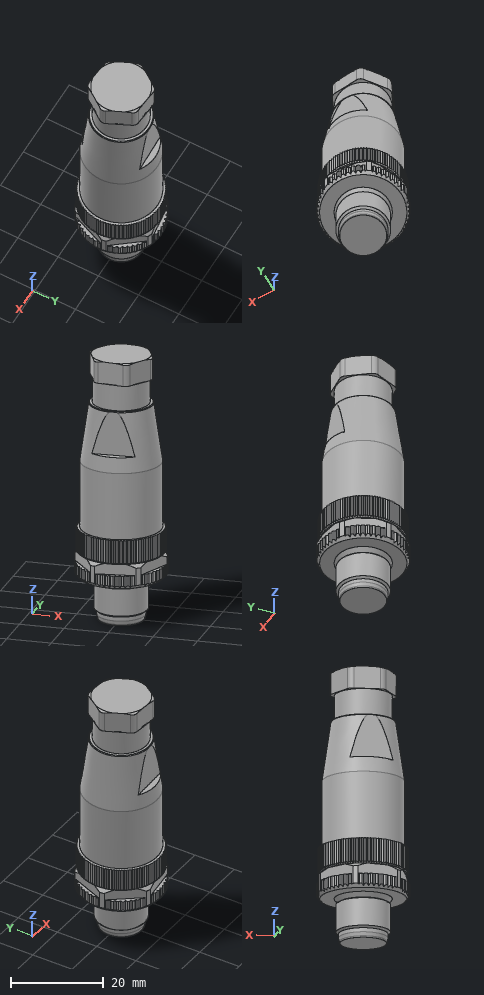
import cadquery as cq
import math

TIP_BEVEL_Z = 0.3
TIP_RING_Z = 1.15
TIP_TOP_Z = 2.05
THREAD_BEVEL_LOW_Z = 2.5
THREAD_BEVEL_HIGH_Z = 8.65
THREAD_TOP_Z = 8.95
COUPLING_BOTTOM_Z = 9.95
RING_BEVEL_Z = 10.75
RING_TOP_Z = 13.0
COUPLING_TOP_Z = 15.45
GRIP_TOP_Z = 21.0
CONE_BOTTOM_Z = 36.1
FLAT_BOTTOM_Z = 39.55
CONE_TOP_Z = 49.5
CAP_BOTTOM_Z = 55.4
TOTAL_HEIGHT = 60.4

TIP_FACE_RADIUS = 5.1
TIP_LOW_RADIUS = 5.2
TIP_RADIUS = 5.4
THREAD_RADIUS = 5.9
COLLAR_RADIUS = 6.3
BODY_RADIUS = 9.0
CONE_TOP_RADIUS = 7.05
RIM_BEVEL = 0.2
NECK_RADIUS = 6.3

GRIP_RADIUS = 9.8
GRIP_TOOTH_DEPTH = 0.25
GRIP_TEETH = 104
GRIP_BEVEL = 0.4

COUPLING_RADIUS = 10.1
COUPLING_APOTHEM = 9.0
COUPLING_ANGLE = 7.6
RING_BEVEL = 0.65
HEXAGON_BEVEL = 0.8
HEXAGON_BEVEL_DROP = 0.8
RING_TEETH = 54
RING_TOOTH_DEPTH = 0.35
RING_TIP_FRACTION = 0.4
CORNER_DIRECTION = COUPLING_ANGLE + 60

FLAT_DISTANCE = 7.0
FLAT_ANGLE = 2

CAP_APOTHEM = 6.45
CAP_CORNER_RADIUS = 1.5
CAP_ANGLE = -5
CAP_TOP_RADIUS = 6.6
CAP_BEVEL_DROP = 0.25


def revolve_profile(points):
    """Turn a closed (radius, height) outline around the Z axis."""
    return cq.Workplane("XZ").polyline(points).close().revolve(360, (0, 0), (0, 1))


def hexagon(apothem, bottom, top, angle):
    """Hexagonal prism with two flats facing +Y and -Y, then turned by angle."""
    corner_diameter = 2 * apothem / math.cos(math.radians(30))
    prism = cq.Workplane("XY").workplane(offset=bottom).polygon(6, corner_diameter)
    return prism.extrude(top - bottom).rotate((0, 0, 0), (0, 0, 1), angle)


def toothed_disc(radius, depth, teeth, tip_fraction, first_tooth, bottom, top):
    """Disc with V grooves between teeth; tip_fraction is the flat share of each pitch."""
    pitch = 360 / teeth
    half_tip = pitch * tip_fraction / 2
    outline = []

    def add_point(point_radius, degrees):
        angle = math.radians(degrees)
        outline.append((point_radius * math.cos(angle), point_radius * math.sin(angle)))

    for tooth in range(teeth):
        center = first_tooth + tooth * pitch
        if half_tip > 0:
            add_point(radius, center - half_tip)
        add_point(radius, center + half_tip)
        add_point(radius - depth, center + pitch / 2)
    return cq.Workplane("XY").workplane(offset=bottom).polyline(outline).close().extrude(top - bottom)


def make_turned_core():
    """Plug tip, thread, collar, body, cone and neck as one revolved solid."""
    return revolve_profile([
        (0, 0),
        (TIP_FACE_RADIUS, 0),
        (TIP_LOW_RADIUS, TIP_BEVEL_Z),
        (TIP_RADIUS, TIP_RING_Z),
        (TIP_RADIUS, TIP_TOP_Z),
        (THREAD_RADIUS, THREAD_BEVEL_LOW_Z),
        (THREAD_RADIUS, THREAD_BEVEL_HIGH_Z),
        (TIP_RADIUS, THREAD_TOP_Z),
        (COLLAR_RADIUS, COUPLING_BOTTOM_Z),
        (BODY_RADIUS, COUPLING_BOTTOM_Z),
        (BODY_RADIUS, CONE_BOTTOM_Z),
        (CONE_TOP_RADIUS, CONE_TOP_Z - RIM_BEVEL),
        (CONE_TOP_RADIUS - RIM_BEVEL, CONE_TOP_Z),
        (NECK_RADIUS, CONE_TOP_Z),
        (NECK_RADIUS, CAP_BOTTOM_Z),
        (0, CAP_BOTTOM_Z),
    ])


def make_wrench_flats():
    """Material removed on opposite sides of the cone."""
    thickness = BODY_RADIUS - FLAT_DISTANCE
    offset = FLAT_DISTANCE + thickness / 2
    cutters = (
        cq.Workplane("XY")
        .workplane(offset=FLAT_BOTTOM_Z)
        .pushPoints([(0, -offset), (0, offset)])
        .rect(2 * BODY_RADIUS, thickness)
        .extrude(CONE_TOP_Z - FLAT_BOTTOM_Z)
    )
    return cutters.rotate((0, 0, 0), (0, 0, 1), FLAT_ANGLE)


def make_grip():
    """Finely knurled sleeve, bevelled at its lower edge."""
    teeth = toothed_disc(
        GRIP_RADIUS, GRIP_TOOTH_DEPTH, GRIP_TEETH, 0, 0, COUPLING_TOP_Z, GRIP_TOP_Z
    )
    envelope = revolve_profile([
        (0, COUPLING_TOP_Z),
        (GRIP_RADIUS - GRIP_BEVEL, COUPLING_TOP_Z),
        (GRIP_RADIUS, COUPLING_TOP_Z + GRIP_BEVEL),
        (GRIP_RADIUS, GRIP_TOP_Z),
        (0, GRIP_TOP_Z),
    ])
    return teeth.intersect(envelope)


def make_coupling_nut():
    """Bevelled hexagon whose corners run down through a coarse toothed ring."""
    hexagonal_part = hexagon(COUPLING_APOTHEM, COUPLING_BOTTOM_Z, COUPLING_TOP_Z, COUPLING_ANGLE)
    ring = toothed_disc(
        COUPLING_RADIUS,
        RING_TOOTH_DEPTH,
        RING_TEETH,
        RING_TIP_FRACTION,
        CORNER_DIRECTION,
        COUPLING_BOTTOM_Z,
        RING_TOP_Z,
    )
    envelope = revolve_profile([
        (0, COUPLING_BOTTOM_Z),
        (COUPLING_RADIUS - RING_BEVEL, COUPLING_BOTTOM_Z),
        (COUPLING_RADIUS, RING_BEVEL_Z),
        (COUPLING_RADIUS, COUPLING_TOP_Z - HEXAGON_BEVEL_DROP),
        (COUPLING_RADIUS - HEXAGON_BEVEL, COUPLING_TOP_Z),
        (0, COUPLING_TOP_Z),
    ])
    return hexagonal_part.union(ring).intersect(envelope)


def make_cap_nut():
    """Hexagonal cap with rounded corners and a conical bevel on the top corners."""
    prism = hexagon(CAP_APOTHEM, CAP_BOTTOM_Z, TOTAL_HEIGHT, CAP_ANGLE)
    prism = prism.edges("|Z").fillet(CAP_CORNER_RADIUS)
    rounding_apothem = CAP_APOTHEM - CAP_CORNER_RADIUS
    corner_reach = rounding_apothem / math.cos(math.radians(30)) + CAP_CORNER_RADIUS
    envelope = revolve_profile([
        (0, CAP_BOTTOM_Z),
        (corner_reach, CAP_BOTTOM_Z),
        (corner_reach, TOTAL_HEIGHT - CAP_BEVEL_DROP),
        (CAP_TOP_RADIUS, TOTAL_HEIGHT),
        (0, TOTAL_HEIGHT),
    ])
    return prism.intersect(envelope)


result = (
    make_turned_core()
    .cut(make_wrench_flats())
    .union(make_grip())
    .union(make_coupling_nut())
    .union(make_cap_nut())
)